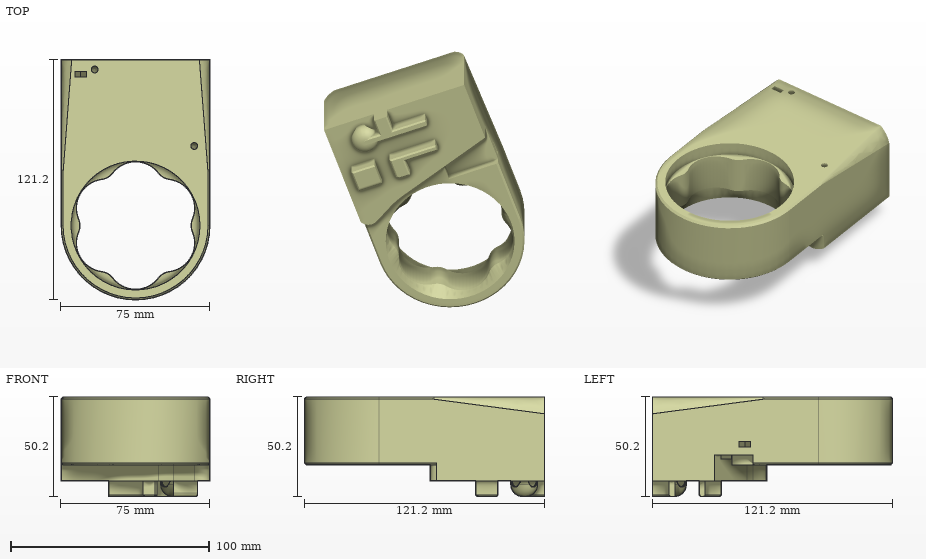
import cadquery as cq
import math


LENGTH = 121.2
WIDTH = 75.0
NOSE_RADIUS = WIDTH / 2
REAR_Y = LENGTH - NOSE_RADIUS
TOP_Z = 42.3
COLLAR_BOTTOM_Z = 8.1
EDGE_CHAMFER = 1.0

LEFT_FRONT_Y = 52.4
MIDDLE_X = 11.6
MIDDLE_Y = 36.0
STEEP_X = 19.0
STEEP_Y = 33.0
FRONT_CORNER_START_X = 29.8
FRONT_CORNER_START_Y = 26.7
FRONT_CORNER_LOW_X = 32.7
FRONT_CORNER_LOW_Y = 25.9
FRONT_CORNER_END_Y = 29.1

POCKET_CEILING_Z = 13.0
POCKET_FRONT_Y = 33.0
POCKET_END_X = -11.3

CORNER_INSET = 5.3
CORNER_DROP = 8.5
CORNER_RADIUS = 14.5
CORNER_FADE_Y = 26.7

SEAT_RADIUS = 32.5
SEAT_DEPTH = 7.0
LOBE_COUNT = 6
LOBE_OFFSET = 17.6
LOBE_RADIUS = 14.5
NECK_RADIUS = 28.0
TAPER_TOP_Z = 15.6

SCREW_HOLES = [(-20.6, 78.7), (29.6, 40.1)]
SCREW_DIAMETER = 3.4
SCREW_DEPTH = 9.7
SCREW_TIP_HALF_ANGLE = 45
NUT_WIDTH = 5.8
NUT_THICKNESS = 2.8
NUT_DEPTH = 6.0
NUT_END_SLOPE = math.radians(30)
TOP_NUT_X = -27.6
TOP_NUT_Y = 76.4
SIDE_NUT_Y = 37.1
SIDE_NUT_Z = 18.5

RECESS_FRONT_Y = 43.8
RECESS_REAR_Y = 49.0
RECESS_HEIGHT = 1.8
RECESS_END_X = -7.3

FOOT_HEIGHT = 7.9
FOOT_CHAMFER = 0.7
BAR_THICKNESS = 3.0
FOOT_LEFT_X = -13.6
STEM_LEFT_X = 3.9
FOOT_RIGHT_X = 10.9
STEM_CORNER = 1.1
FRONT_FOOT_MIN_Y = 48.8
FRONT_FOOT_MAX_Y = 60.1
REAR_BAR_FRONT_Y = 72.2
BLOCK_LEFT_X = 19.0
BLOCK_RIGHT_X = 31.3
BLOCK_ROUNDING = 1.8

PIN_X = 19.4
PIN_Y = 73.3
PIN_RADIUS = 6.8
PIN_ROUNDING = 6.0
PIN_HOLE_RADIUS = 3.0
PIN_HOLE_FLOOR = 5.5


def box(x_min, x_max, y_min, y_max, z_min, z_max):
    size = (x_max - x_min, y_max - y_min, z_max - z_min)
    return cq.Workplane("XY").box(*size, centered=False).translate((x_min, y_min, z_min))


def polar(radius, angle):
    return (radius * math.cos(angle), radius * math.sin(angle))


def collar():
    """Round-nosed slab, chamfered along the nose and sides but not across the rear."""
    return (
        cq.Workplane("XY", origin=(0, 0, COLLAR_BOTTOM_Z))
        .moveTo(-NOSE_RADIUS, REAR_Y)
        .lineTo(-NOSE_RADIUS, 0)
        .threePointArc((0, -NOSE_RADIUS), (NOSE_RADIUS, 0))
        .lineTo(NOSE_RADIUS, REAR_Y)
        .close()
        .extrude(TOP_Z - COLLAR_BOTTOM_Z)
        .edges("(<Z or >Z) and (not >Y)")
        .chamfer(EDGE_CHAMFER)
    )


def slanted_wall_y(x):
    """Y on the slanted plinth front at a given X."""
    share = (x + NOSE_RADIUS) / (MIDDLE_X + NOSE_RADIUS)
    return LEFT_FRONT_Y + share * (MIDDLE_Y - LEFT_FRONT_Y)


def plinth():
    """Rear base of the body, with a slanted front and square edges where it joins the collar."""
    lower = (
        cq.Workplane("XY")
        .moveTo(-NOSE_RADIUS, REAR_Y)
        .lineTo(-NOSE_RADIUS, LEFT_FRONT_Y)
        .lineTo(MIDDLE_X, MIDDLE_Y)
        .tangentArcPoint((STEEP_X, STEEP_Y), relative=False)
        .lineTo(FRONT_CORNER_START_X, FRONT_CORNER_START_Y)
        .threePointArc((FRONT_CORNER_LOW_X, FRONT_CORNER_LOW_Y), (NOSE_RADIUS, FRONT_CORNER_END_Y))
        .lineTo(NOSE_RADIUS, REAR_Y)
        .close()
        .extrude(COLLAR_BOTTOM_Z)
    )
    edge_top_z = COLLAR_BOTTOM_Z + EDGE_CHAMFER
    left_x = EDGE_CHAMFER - NOSE_RADIUS
    left = box(-NOSE_RADIUS, left_x, POCKET_FRONT_Y, REAR_Y, COLLAR_BOTTOM_Z, edge_top_z)
    right = box(-left_x, NOSE_RADIUS, FRONT_CORNER_END_Y, REAR_Y, COLLAR_BOTTOM_Z, edge_top_z)
    return lower.union(left).union(right)


def pocket():
    return (
        cq.Workplane("XY", origin=(0, 0, COLLAR_BOTTOM_Z))
        .moveTo(-NOSE_RADIUS, POCKET_FRONT_Y)
        .lineTo(POCKET_END_X, POCKET_FRONT_Y)
        .lineTo(POCKET_END_X, slanted_wall_y(POCKET_END_X))
        .lineTo(-NOSE_RADIUS, LEFT_FRONT_Y)
        .close()
        .extrude(POCKET_CEILING_Z - COLLAR_BOTTOM_Z)
    )


def wall_recess():
    """Recess cut in from the -X side, whose inner end slopes like half of a nut slot."""
    rear_end_x = RECESS_END_X - (RECESS_REAR_Y - RECESS_FRONT_Y) * math.tan(NUT_END_SLOPE)
    return (
        cq.Workplane("XY", origin=(0, 0, POCKET_CEILING_Z - RECESS_HEIGHT))
        .moveTo(-NOSE_RADIUS, RECESS_REAR_Y)
        .lineTo(-NOSE_RADIUS, RECESS_FRONT_Y)
        .lineTo(RECESS_END_X, RECESS_FRONT_Y)
        .lineTo(rear_end_x, RECESS_REAR_Y)
        .close()
        .extrude(RECESS_HEIGHT)
    )


def corner_section(y, inset, drop, radius):
    """Closed XZ outline of the material outside the rounded +X top corner."""
    side = (NOSE_RADIUS, TOP_Z - drop)
    top = (NOSE_RADIUS - inset, TOP_Z)
    chord = math.hypot(inset, drop)
    sag = radius - math.sqrt(radius**2 - (chord / 2) ** 2)
    middle_x = (side[0] + top[0]) / 2 + sag * drop / chord
    middle_z = (side[1] + top[1]) / 2 + sag * inset / chord
    outline = (
        cq.Workplane("XZ", origin=(0, y, 0))
        .moveTo(*side)
        .threePointArc((middle_x, middle_z), top)
        .lineTo(NOSE_RADIUS, TOP_Z)
        .close()
    )
    return outline.val()


def rear_corner():
    fade_radius = CORNER_RADIUS * EDGE_CHAMFER / CORNER_INSET
    sections = [
        corner_section(REAR_Y, CORNER_INSET, CORNER_DROP, CORNER_RADIUS),
        corner_section(CORNER_FADE_Y, EDGE_CHAMFER, EDGE_CHAMFER, fade_radius),
    ]
    return cq.Workplane(cq.Solid.makeLoft(sections, True))


def lobe_arcs():
    """Start, middle and end points of the arcs round the lobed bore, necks and lobes in turn."""
    half_pitch = math.pi / LOBE_COUNT
    lobe_x, lobe_y = polar(LOBE_OFFSET, half_pitch)
    gap = NECK_RADIUS - lobe_x
    bulge = (gap**2 + lobe_y**2 - LOBE_RADIUS**2) / (2 * (LOBE_RADIUS - gap))
    share = LOBE_RADIUS / (LOBE_RADIUS + bulge)
    tangent_x = lobe_x + share * (gap + bulge)
    tangent_y = lobe_y - share * lobe_y
    tangent_radius = math.hypot(tangent_x, tangent_y)
    tangent_angle = math.atan2(tangent_y, tangent_x)
    arcs = []
    for index in range(LOBE_COUNT):
        neck = 2 * half_pitch * index
        start = (tangent_radius, neck - tangent_angle)
        end = (tangent_radius, neck + tangent_angle)
        next_start = (tangent_radius, neck + 2 * half_pitch - tangent_angle)
        arcs.append((start, (NECK_RADIUS, neck), end))
        arcs.append((end, (LOBE_OFFSET + LOBE_RADIUS, neck + half_pitch), next_start))
    return arcs


def bore_wire(z, round_radius=None):
    """Lobed outline, or a circle split at the same angles when a radius is given."""
    edges = []
    for arc in lobe_arcs():
        points = [polar(round_radius or radius, angle) for radius, angle in arc]
        edges.append(cq.Edge.makeThreePointArc(*[cq.Vector(x, y, z) for x, y in points]))
    return cq.Wire.assembleEdges(edges)


def bore():
    seat_z = TOP_Z - SEAT_DEPTH
    seat = cq.Workplane("XY", origin=(0, 0, seat_z)).circle(SEAT_RADIUS).extrude(SEAT_DEPTH)
    height = cq.Vector(0, 0, seat_z - TAPER_TOP_Z)
    lobed = cq.Solid.extrudeLinear(bore_wire(TAPER_TOP_Z), [], height)
    taper_wires = [bore_wire(COLLAR_BOTTOM_Z, SEAT_RADIUS), bore_wire(TAPER_TOP_Z)]
    taper = cq.Solid.makeLoft(taper_wires, True)
    return seat, cq.Workplane(lobed), cq.Workplane(taper)


def nut_slot(plane):
    """Slot sunk against the plane normal, ending in a 120 degree V."""
    half = NUT_WIDTH / 2
    tip_depth = NUT_DEPTH + half * math.tan(NUT_END_SLOPE)
    profile = [(-half, 0), (half, 0), (half, -NUT_DEPTH), (0, -tip_depth), (-half, -NUT_DEPTH)]
    return cq.Workplane(plane).polyline(profile).close().extrude(NUT_THICKNESS / 2, both=True)


def top_nut_slot():
    return nut_slot(cq.Plane((TOP_NUT_X, TOP_NUT_Y, TOP_Z), (1, 0, 0), (0, -1, 0)))


def side_nut_slot():
    return nut_slot(cq.Plane((-NOSE_RADIUS, SIDE_NUT_Y, SIDE_NUT_Z), (0, 1, 0), (0, 0, 1)))


def screw_hole(x, y):
    radius = SCREW_DIAMETER / 2
    tip_depth = SCREW_DEPTH + radius / math.tan(math.radians(SCREW_TIP_HALF_ANGLE))
    profile = [(0, 0), (radius, 0), (radius, -SCREW_DEPTH), (0, -tip_depth)]
    hole = cq.Workplane("XZ").polyline(profile).close().revolve(360, (0, 0), (0, 1))
    return hole.translate((x, y, TOP_Z))


def front_foot():
    """L-shaped foot: a bar along X with a stem running forward from its +X end."""
    bar_front_y = FRONT_FOOT_MAX_Y - BAR_THICKNESS
    outline = [
        (FOOT_LEFT_X, FRONT_FOOT_MAX_Y),
        (FOOT_LEFT_X, bar_front_y),
        (STEM_LEFT_X, bar_front_y),
        (STEM_LEFT_X, FRONT_FOOT_MIN_Y),
        (FOOT_RIGHT_X - STEM_CORNER, FRONT_FOOT_MIN_Y),
        (FOOT_RIGHT_X, FRONT_FOOT_MIN_Y + STEM_CORNER),
        (FOOT_RIGHT_X, FRONT_FOOT_MAX_Y),
    ]
    foot = cq.Workplane("XY").polyline(outline).close().extrude(-FOOT_HEIGHT)
    return foot.edges("<Z and (not <X)").chamfer(FOOT_CHAMFER)


def rear_foot():
    """Bar along X with a chamfered stem running back to the rear face."""
    bar_rear_y = REAR_BAR_FRONT_Y + BAR_THICKNESS
    bar = box(FOOT_LEFT_X, PIN_X, REAR_BAR_FRONT_Y, bar_rear_y, -FOOT_HEIGHT, 0)
    bar = bar.edges("<Z and >Y").chamfer(FOOT_CHAMFER)
    stem = box(STEM_LEFT_X, FOOT_RIGHT_X, REAR_BAR_FRONT_Y, REAR_Y, -FOOT_HEIGHT, 0)
    stem = stem.edges("<Z and |Y").chamfer(FOOT_CHAMFER)
    return bar.union(stem)


def block_foot():
    """Plain block, rounded below at the front and chamfered at the +X and rear edges."""
    block = box(BLOCK_LEFT_X, BLOCK_RIGHT_X, FRONT_FOOT_MIN_Y, FRONT_FOOT_MAX_Y, -FOOT_HEIGHT, 0)
    block = block.edges("<Z and (>X or >Y)").chamfer(FOOT_CHAMFER)
    return block.edges("<Z").edges("<Y").fillet(BLOCK_ROUNDING)


def domed_pin():
    pin = cq.Workplane("XY").circle(PIN_RADIUS).extrude(-FOOT_HEIGHT)
    pin = pin.faces("<Z").edges().fillet(PIN_ROUNDING)
    for angle in (45, 135, 225, 315):
        hole = (
            cq.Workplane("YZ", origin=(PIN_HOLE_FLOOR, 0, 0))
            .circle(PIN_HOLE_RADIUS)
            .extrude(PIN_RADIUS)
            .rotate((0, 0, 0), (0, 0, 1), angle)
        )
        pin = pin.cut(hole)
    return pin.translate((PIN_X, PIN_Y, 0))


body = collar().union(plinth())
body = body.cut(pocket()).cut(wall_recess())
corner = rear_corner()
body = body.cut(corner).cut(corner.mirror("YZ"))
for bore_part in bore():
    body = body.cut(bore_part)
body = body.cut(top_nut_slot()).cut(side_nut_slot())
for hole_x, hole_y in SCREW_HOLES:
    body = body.cut(screw_hole(hole_x, hole_y))
for foot in (front_foot(), rear_foot(), block_foot(), domed_pin()):
    body = body.union(foot)

result = body